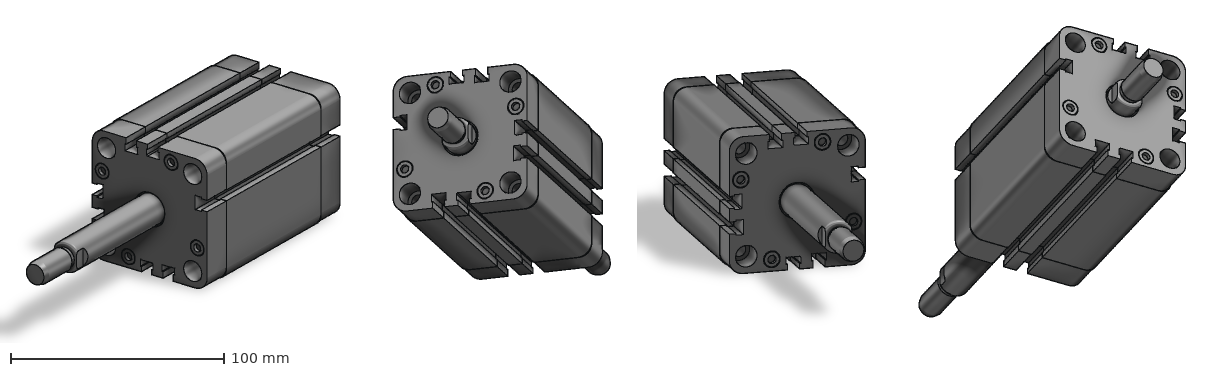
import cadquery as cq


body_side = 67.0
half_side = body_side / 2
body_length = 106.0
cap_length = 15.3
tube_length = body_length - 2 * cap_length
cap_inset = 0.15
cap_side = body_side - 2 * cap_inset
cap_corner_radius = 6.9
tube_corner_radius = 6.4

mount_spacing = 50.0
mount_hole_diameter = 6.65
mount_bore_diameter = 10.5
mount_bore_depth = 12.0

screw_x = 12.4
screw_z = 27.6
screw_seat_diameter = 8.0
screw_head_diameter = 7.5
screw_gap_depth = 1.0
screw_socket_diameter = 4.0
screw_socket_depth = 2.0

deep_slot_offset = -10.7
deep_slot_depth = 6.9
deep_slot_lip = 3.5
shallow_slot_offset = 1.8
shallow_slot_depth = 6.2
shallow_slot_lip = 2.8
slot_mouth_width = 5.6
slot_inner_width = 7.0
shallow_slot_chamfer = 0.6
cap_slot_clearance = 0.15

rod_diameter = 16.0
rod_end_length = 31.25
stroke = 60.0
shoulder_round = 1.5
rod_bore_diameter = 17.6
rod_bore_depth = 1.0
flats_width = 13.0
flats_length = 5.4
flats_runout = 1.7

thread_diameter = 12.0
thread_length = 24.0
thread_tip_diameter = 10.2
thread_tip_length = 3.0
neck_diameter = 10.5
neck_length = 2.0
neck_taper = 0.8


def quarter_turn(solid, turns):
    """Turn a solid about the rod axis, counterclockwise as seen from the front."""
    return solid.rotate((0, 0, 0), (0, 1, 0), -90 * turns)


def square_block(side, start, length, corner_radius):
    block = cq.Workplane("XY").box(side, length, side)
    return block.edges("|Y").fillet(corner_radius).translate((0, start + length / 2, 0))


def cylinder(diameter, start, length, x=0.0, z=0.0):
    disc = cq.Workplane("XZ").center(x, z).circle(diameter / 2)
    return disc.extrude(-length).translate((0, start, 0))


def slot_box(center, width, depth_from, depth_to, start, length):
    """Box in the top side, between two depths below the top face."""
    height = depth_to - depth_from
    box = cq.Workplane("XY").box(width, length, height)
    return box.translate((center, start + length / 2, half_side - depth_from - height / 2))


def slot_stretch(center, depth, lip, corner_chamfer, clearance, start, length):
    """Undercut slot over part of the body, opened out by a clearance at its floor and walls."""
    floor = depth + clearance
    mouth = slot_box(center, slot_mouth_width + 2 * clearance, 0, lip, start, length)
    chamber = slot_box(center, slot_inner_width + 2 * clearance, lip, floor, start, length)
    if corner_chamfer:
        chamber = chamber.edges("|Y and <X and <Z").chamfer(corner_chamfer)
    return mouth.union(chamber)


def sensor_slot(center, depth, lip, corner_chamfer=0.0):
    """Slot along the whole body, slightly larger through the caps than through the tube."""
    slot = slot_stretch(center, depth, lip, corner_chamfer, 0, cap_length, tube_length)
    for start in (0, cap_length + tube_length):
        slot = slot.union(slot_stretch(center, depth, lip, corner_chamfer, cap_slot_clearance,
                                       start, cap_length))
    return slot


def screw_cuts():
    """Gap around the screw head and round socket of one front cap screw."""
    seat = cylinder(screw_seat_diameter, 0, screw_gap_depth, screw_x, screw_z)
    head = cylinder(screw_head_diameter, 0, screw_gap_depth, screw_x, screw_z)
    socket = cylinder(screw_socket_diameter, 0, screw_socket_depth, screw_x, screw_z)
    return seat.cut(head).union(socket)


def both_ends(solid):
    """Add the copy mirrored about the middle of the body."""
    return solid.union(solid.mirror("XZ", (0, body_length / 2, 0)))


def make_body():
    body = square_block(cap_side, 0, cap_length, cap_corner_radius)
    body = body.union(square_block(body_side, cap_length, tube_length, tube_corner_radius))
    body = body.union(square_block(cap_side, cap_length + tube_length, cap_length, cap_corner_radius))

    deep = sensor_slot(deep_slot_offset, deep_slot_depth, deep_slot_lip)
    shallow = sensor_slot(shallow_slot_offset, shallow_slot_depth, shallow_slot_lip, shallow_slot_chamfer)
    screw = both_ends(screw_cuts())
    right_side = 3
    for turns in range(4):
        body = body.cut(quarter_turn(deep, turns))
        if turns != right_side:
            body = body.cut(quarter_turn(shallow, turns))
        body = body.cut(quarter_turn(screw, turns))

    half_spacing = mount_spacing / 2
    bore = cylinder(mount_bore_diameter, 0, mount_bore_depth, half_spacing, half_spacing)
    hole = cylinder(mount_hole_diameter, 0, body_length, half_spacing, half_spacing)
    mount = both_ends(bore).union(hole)
    for turns in range(4):
        body = body.cut(quarter_turn(mount, turns))

    rod_bore = cylinder(rod_bore_diameter, 0, rod_bore_depth)
    return body.cut(both_ends(rod_bore))


def thread_outline(outline, shoulder, direction):
    """Continue a half outline of the rod from its shoulder to the tip of the thread."""
    tip = shoulder + direction * thread_length
    neck_end = shoulder + direction * neck_length
    return (
        outline.lineTo(neck_diameter / 2, shoulder)
        .lineTo(neck_diameter / 2, neck_end)
        .lineTo(thread_diameter / 2, neck_end + direction * neck_taper)
        .lineTo(thread_diameter / 2, tip - direction * thread_tip_length)
        .lineTo(thread_tip_diameter / 2, tip)
        .lineTo(0, tip)
    )


def half_rod(middle, shoulder):
    """Round part of the rod from the middle of the body to one tip."""
    direction = 1 if shoulder > middle else -1
    radius = rod_diameter / 2
    outline = cq.Workplane("XY").moveTo(0, middle).lineTo(radius, middle)
    outline = outline.lineTo(radius, shoulder - direction * shoulder_round)
    outline = outline.radiusArc((radius - shoulder_round, shoulder), -direction * shoulder_round)
    outline = thread_outline(outline, shoulder, direction)
    return outline.close().revolve(360, (0, 0, 0), (0, 1, 0))


def flat_cut(side, shoulder, direction):
    """Wrench flat on one side of the rod, sloping out to the full diameter away from the shoulder."""
    inner = flats_width / 2
    outer = rod_diameter / 2
    flat_end = shoulder - direction * flats_length
    runout_end = flat_end - direction * flats_runout
    profile = cq.Workplane("XY").polyline([
        (side * inner, shoulder),
        (side * inner, flat_end),
        (side * outer, runout_end),
        (side * outer, shoulder),
    ]).close()
    return profile.extrude(rod_diameter / 2, both=True)


def make_rod():
    middle = body_length / 2
    shoulder_reach = rod_end_length - thread_length
    front_shoulder = -stroke - shoulder_reach
    rear_shoulder = body_length + shoulder_reach
    rod = half_rod(middle, front_shoulder).union(half_rod(middle, rear_shoulder))
    for shoulder, direction in ((front_shoulder, -1), (rear_shoulder, 1)):
        for side in (-1, 1):
            rod = rod.cut(flat_cut(side, shoulder, direction))
    return rod


result = make_body().union(make_rod())